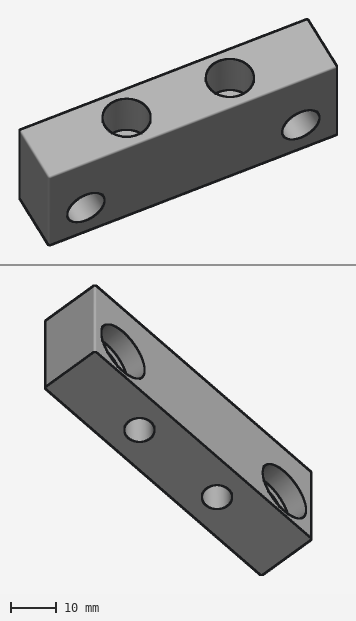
import cadquery as cq

width = 15.0
length = 70.0
height = 24.0
edge_radius = 0.5

top_hole_spacing = 25.0
top_hole_diameter = 6.6
top_bore_diameter = 10.5
top_bore_depth = 11.0

side_hole_spacing = 52.0
side_hole_height = 8.5
side_hole_diameter = 9.0
side_bore_diameter = 14.0
side_bore_depth = 5.0


def make_block():
    """Block resting on Z = 0, with every edge but the bottom ones rounded."""
    block = cq.Workplane("XY").box(width, length, height, centered=(True, True, False))
    return block.edges("|Z or >Z").fillet(edge_radius)


def cut_top_holes(body):
    """Two vertical holes, spaced evenly about the middle of the length."""
    return (
        body.faces(">Z")
        .workplane(origin=(0, 0, height))
        .rarray(0.7, top_hole_spacing, 1, 2)
        .cboreHole(top_hole_diameter, top_bore_diameter, top_bore_depth)
    )


def cut_side_holes(body):
    """Two crosswise holes near the ends of the block."""
    return (
        body.faces("<X")
        .workplane(origin=(-width / 2, 0, side_hole_height))
        .rarray(side_hole_spacing, 0.7, 2, 1)
        .cboreHole(side_hole_diameter, side_bore_diameter, side_bore_depth)
    )


result = cut_side_holes(cut_top_holes(make_block()))